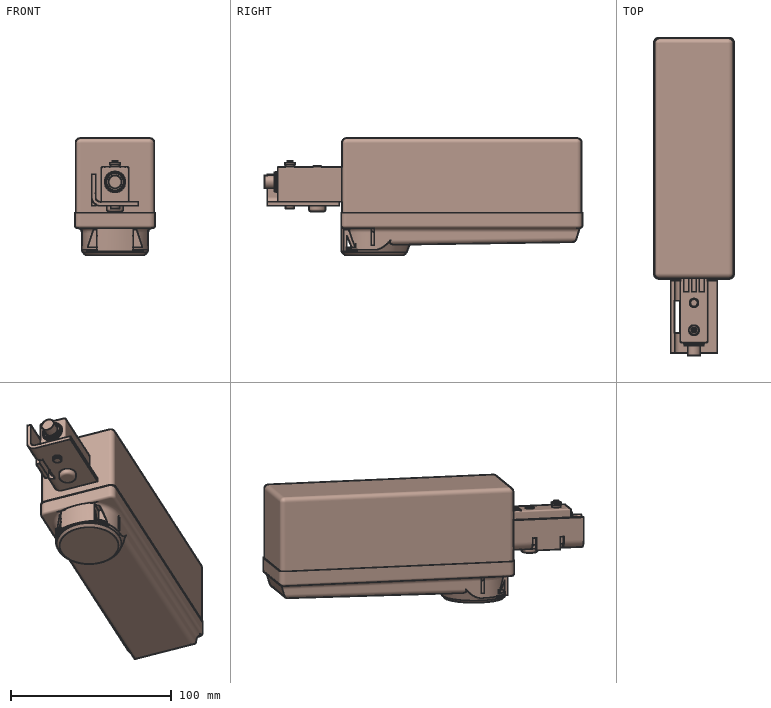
import cadquery as cq
import math


diagonal = math.sqrt(0.5)

base_width = 50.0
base_length = 150.0
base_corner_radius = 3.5
base_bottom_z = 16.9
base_bottom_fillet = 1.7
step_z = 26.5
step_inset = 0.5
cover_top_z = 72.9
cover_fillet = 3.0
base_front_y = -base_length / 2
base_back_y = base_length / 2
cover_front_y = base_front_y + step_inset

strip_half_width = 20.7
strip_flare_radius = 2.6
strip_front_bottom_z = 6.3
strip_back_bottom_z = 8.1
strip_back_taper = 2.7
strip_bottom_fillet = 3.0

bowl_y = base_front_y + strip_half_width
bowl_bottom_radius = 18.3
bowl_edge_radius = 20.1
bowl_edge_z = 1.8
bowl_slope = math.radians(21.0)
rib_groove_width = 1.9
rib_groove_depth = 0.3

panel_bow = 1.7
front_wall_back_y = base_front_y + 3.6
opening_floor_z = 2.5
shelf_bottom_z = 3.6
shelf_top_z = 5.0
opening_top_z = 12.0
lower_opening_back_y = base_front_y + 10.0
upper_opening_back_y = base_front_y + 6.5
window_inner_x = 11.2
window_bottom_outer_x = 17.0
window_top_outer_x = 13.5
window_depth = 9.0
window_top_z = 15.8

bracket_width = 29.0
bracket_length = 45.0
bracket_thickness = 2.5
bracket_bottom_z = 30.7
bracket_top_z = 50.4
bracket_gap = 1.0
bend_radius = 3.0
tab_length = 15.0
relief_width = 2.5
relief_top_z = 38.7
bracket_back_y = base_front_y - bracket_gap
bracket_mid_y = bracket_back_y - bracket_length / 2
bracket_left_x = -bracket_width / 2
floor_top_z = bracket_bottom_z + bracket_thickness
bend_outer_radius = bend_radius + bracket_thickness

block_width = 17.0
block_length = 40.0
block_top_z = 55.0
block_fillet = 1.0
block_front_y = cover_front_y - block_length
slot_width = 3.0
slot_pitch = 4.75
slot_depth = 4.0
slot_front_y = base_front_y - 8.0

button_z = 45.6
button_diameter = 8.0
button_tip_y = base_front_y - 47.6
collar_length = 1.9
collar_base_diameter = 13.0
collar_front_diameter = 11.9
collar_teeth = 24
collar_root_diameter = 10.5
tooth_gap_width = 0.8

rivet_y = bracket_back_y - 13.8
rivet_base_diameter = 5.5
rivet_top_diameter = 4.5
rivet_height = 0.6
screw_head_diameter = 10.5
screw_head_flat_diameter = 7.0
screw_head_height = 3.6
screw_head_rim_height = 2.0

terminal_y = bracket_back_y - 30.8
terminal_diameter = 5.6
terminal_flange_diameter = 6.4
terminal_flange_bottom = 1.4
terminal_height = 2.6
terminal_stem_diameter = 1.3
terminal_cap_diameter = 3.24
terminal_cap_bottom = 3.4
terminal_cap_top = 3.8
terminal_foot_height = 1.9
terminal_foot_chamfer = 0.5


def box(x_min, x_max, y_min, y_max, z_min, z_max):
    """Axis-aligned box between the given limits."""
    return (
        cq.Workplane("XY")
        .box(x_max - x_min, y_max - y_min, z_max - z_min, centered=False)
        .translate((x_min, y_min, z_min))
    )


def disc(diameter, y, z_min, z_max):
    """Upright cylinder on the centre line."""
    return cq.Workplane("XY", origin=(0, y, z_min)).circle(diameter / 2).extrude(z_max - z_min)


def make_shell():
    """Rectangular cover standing on the slightly wider base."""
    base = (
        cq.Workplane("XY", origin=(0, 0, base_bottom_z))
        .rect(base_width, base_length)
        .extrude(step_z - base_bottom_z)
        .edges("|Z")
        .fillet(base_corner_radius)
        .faces("<Z")
        .edges()
        .fillet(base_bottom_fillet)
    )
    cover = (
        cq.Workplane("XY", origin=(0, 0, step_z))
        .rect(base_width - 2 * step_inset, base_length - 2 * step_inset)
        .extrude(cover_top_z - step_z)
        .edges("|Z or >Z")
        .fillet(cover_fillet)
    )
    return base.union(cover)


def make_strip():
    """Long strip with flared sides, a sloping bottom and a tapered back end."""
    flare_half_width = strip_half_width + strip_flare_radius
    flare_bottom_z = base_bottom_z - strip_flare_radius
    arc_reach = strip_flare_radius * (1 - diagonal)
    strip_back_y = base_back_y - base_bottom_fillet
    section = (
        cq.Workplane("XZ", origin=(0, strip_back_y, 0))
        .moveTo(-strip_half_width, 0)
        .lineTo(strip_half_width, 0)
        .lineTo(strip_half_width, flare_bottom_z)
        .threePointArc(
            (strip_half_width + arc_reach, base_bottom_z - arc_reach), (flare_half_width, base_bottom_z)
        )
        .lineTo(-flare_half_width, base_bottom_z)
        .threePointArc(
            (-strip_half_width - arc_reach, base_bottom_z - arc_reach), (-strip_half_width, flare_bottom_z)
        )
        .close()
        .extrude(strip_back_y - bowl_y)
    )
    side = (
        cq.Workplane("YZ")
        .polyline(
            [
                (bowl_y, base_bottom_z),
                (bowl_y, strip_front_bottom_z),
                (strip_back_y - strip_back_taper, strip_back_bottom_z),
                (strip_back_y, base_bottom_z),
            ]
        )
        .close()
        .extrude(base_width / 2, both=True)
    )
    footprint = (
        cq.Workplane("XY")
        .rect(base_width - 2 * base_bottom_fillet, base_length - 2 * base_bottom_fillet)
        .extrude(base_bottom_z)
        .edges("|Z")
        .fillet(base_corner_radius - base_bottom_fillet)
    )
    strip = section.intersect(side)
    strip = strip.faces("<Z").edges("not <Y").fillet(strip_bottom_fillet)
    return strip.intersect(footprint)


def revolve_bowl(outer_points):
    """Solid of revolution about the bowl axis from the outer (radius, Z) points."""
    return (
        cq.Workplane("XZ")
        .polyline([(0, 0)] + outer_points + [(0, base_bottom_z)])
        .close()
        .revolve(360, (0, 0, 0), (0, 1, 0))
        .translate((0, bowl_y, 0))
    )


def make_flare():
    """Concave rim that carries the flare of the strip round the front of the bowl."""
    inner_radius = strip_half_width
    outer_radius = strip_half_width + strip_flare_radius
    arc_reach = strip_flare_radius * (1 - diagonal)
    rim = (
        cq.Workplane("XZ")
        .moveTo(0, base_bottom_z - strip_flare_radius)
        .lineTo(inner_radius, base_bottom_z - strip_flare_radius)
        .threePointArc(
            (inner_radius + arc_reach, base_bottom_z - arc_reach), (outer_radius, base_bottom_z)
        )
        .lineTo(0, base_bottom_z)
        .close()
        .revolve(360, (0, 0, 0), (0, 1, 0))
        .translate((0, bowl_y, 0))
    )
    rim_front_y = base_front_y + base_bottom_fillet
    return rim.intersect(box(-outer_radius, outer_radius, rim_front_y, bowl_y, 0, base_bottom_z))


def make_front_panel():
    """Front wall of the bowl, flatter than the bowl and slightly bowed outwards."""
    edge_y = base_front_y + panel_bow
    return (
        cq.Workplane("XY", origin=(0, 0, opening_floor_z))
        .moveTo(-window_inner_x, front_wall_back_y)
        .lineTo(-window_inner_x, edge_y)
        .threePointArc((0, base_front_y), (window_inner_x, edge_y))
        .lineTo(window_inner_x, front_wall_back_y)
        .close()
        .extrude(base_bottom_z - opening_floor_z)
    )


def make_bowl():
    """Bowl with an upright front half, a shallow front panel and a conical back half."""
    half = strip_half_width
    rim_z = bowl_edge_z + (half - bowl_edge_radius) / math.tan(bowl_slope)
    cone_top_radius = bowl_edge_radius + (base_bottom_z - bowl_edge_z) * math.tan(bowl_slope)
    foot = [(bowl_bottom_radius, 0), (bowl_edge_radius, bowl_edge_z)]
    upright = revolve_bowl(foot + [(half, rim_z), (half, base_bottom_z)])
    cone = revolve_bowl(foot + [(cone_top_radius, base_bottom_z)])
    back_half = box(-half, half, bowl_y, base_back_y, 0, base_bottom_z)
    bowl = upright.union(cone.intersect(back_half)).union(make_flare()).union(make_front_panel())

    lower_opening = box(
        -half, half,
        front_wall_back_y, lower_opening_back_y,
        opening_floor_z, shelf_bottom_z,
    )
    upper_opening = (
        cq.Workplane("YZ")
        .polyline(
            [
                (front_wall_back_y, shelf_top_z),
                (upper_opening_back_y, shelf_top_z),
                (front_wall_back_y, opening_top_z),
            ]
        )
        .close()
        .extrude(half, both=True)
    )
    bowl = bowl.cut(lower_opening).cut(upper_opening)

    for side in (-1, 1):
        window = (
            cq.Workplane("XZ", origin=(0, base_front_y + window_depth, 0))
            .polyline(
                [
                    (side * window_inner_x, shelf_top_z),
                    (side * window_bottom_outer_x, shelf_top_z),
                    (side * window_top_outer_x, window_top_z),
                    (side * window_inner_x, window_top_z),
                ]
            )
            .close()
            .extrude(window_depth)
        )
        bowl = bowl.cut(window)
        groove_limits = sorted((side * (half - rib_groove_depth), side * half))
        groove_front_y = bowl_y - rib_groove_width
        bowl = bowl.cut(box(*groove_limits, groove_front_y, bowl_y, strip_front_bottom_z, base_bottom_z))
    return bowl


def make_bracket():
    """Bent angle with a straight tab left between two reliefs in the bend."""
    bend_x = bracket_left_x + bend_outer_radius
    bend_z = bracket_bottom_z + bend_outer_radius
    bracket = (
        cq.Workplane("XZ", origin=(0, bracket_back_y, 0))
        .moveTo(bracket_left_x, bracket_top_z)
        .lineTo(bracket_left_x, bend_z)
        .threePointArc(
            (bend_x - bend_outer_radius * diagonal, bend_z - bend_outer_radius * diagonal),
            (bend_x, bracket_bottom_z),
        )
        .lineTo(-bracket_left_x, bracket_bottom_z)
        .lineTo(-bracket_left_x, floor_top_z)
        .lineTo(bend_x, floor_top_z)
        .threePointArc(
            (bend_x - bend_radius * diagonal, bend_z - bend_radius * diagonal),
            (bracket_left_x + bracket_thickness, bend_z),
        )
        .lineTo(bracket_left_x + bracket_thickness, bracket_top_z)
        .close()
        .extrude(bracket_length)
    )
    half_tab = tab_length / 2
    half_cut = half_tab + relief_width
    cutout = box(
        bracket_left_x, bend_x,
        bracket_mid_y - half_cut, bracket_mid_y + half_cut,
        bracket_bottom_z, relief_top_z,
    )
    tab = box(
        bracket_left_x, bracket_left_x + bracket_thickness,
        bracket_mid_y - half_tab, bracket_mid_y + half_tab,
        bracket_bottom_z, relief_top_z,
    )
    return bracket.cut(cutout).union(tab)


def make_block():
    """Switch block with rounded edges and three slots at its housing end."""
    block = (
        box(-block_width / 2, block_width / 2, block_front_y, cover_front_y, floor_top_z, block_top_z)
        .edges("(|Z and <Y) or >Z")
        .edges("not >Y")
        .fillet(block_fillet)
    )
    for index in (-1, 0, 1):
        slot_x = index * slot_pitch
        block = block.cut(
            box(
                slot_x - slot_width / 2, slot_x + slot_width / 2,
                slot_front_y, cover_front_y,
                block_top_z - slot_depth, block_top_z,
            )
        )
    return block


def make_button():
    """Push button in a toothed conical collar."""
    collar_face = cq.Workplane("XZ", origin=(0, block_front_y, button_z))
    collar = (
        collar_face.circle(collar_base_diameter / 2)
        .workplane(offset=collar_length)
        .circle(collar_front_diameter / 2)
        .loft()
    )
    tooth_gap_depth = collar_base_diameter - collar_root_diameter
    gaps = (
        collar_face.polarArray(collar_base_diameter / 2, 0, 360, collar_teeth)
        .rect(tooth_gap_depth, tooth_gap_width)
        .extrude(collar_length)
    )
    button = collar_face.circle(button_diameter / 2).extrude(block_front_y - button_tip_y)
    return collar.cut(gaps).union(button)


def make_rivet():
    """Low conical rivet on the block and the domed screw head below the bracket."""
    rivet = (
        cq.Workplane("XY", origin=(0, rivet_y, block_top_z))
        .circle(rivet_base_diameter / 2)
        .workplane(offset=rivet_height)
        .circle(rivet_top_diameter / 2)
        .loft()
    )
    head_radius = screw_head_diameter / 2
    flat_radius = screw_head_flat_diameter / 2
    dome_drop = screw_head_height - screw_head_rim_height
    dome_width = head_radius - flat_radius
    head = (
        cq.Workplane("XZ")
        .lineTo(head_radius, 0)
        .lineTo(head_radius, -screw_head_rim_height)
        .threePointArc(
            (
                flat_radius + dome_width * diagonal,
                -screw_head_rim_height - dome_drop * diagonal,
            ),
            (flat_radius, -screw_head_height),
        )
        .lineTo(0, -screw_head_height)
        .close()
        .revolve(360, (0, 0, 0), (0, 1, 0))
        .translate((0, rivet_y, bracket_bottom_z))
    )
    return rivet.union(head)


def make_terminal():
    """Flanged terminal with a capped pin above the block and a foot below the bracket."""
    neck = disc(terminal_diameter, terminal_y, block_top_z, block_top_z + terminal_height)
    flange = disc(
        terminal_flange_diameter, terminal_y,
        block_top_z + terminal_flange_bottom, block_top_z + terminal_height,
    )
    stem = disc(terminal_stem_diameter, terminal_y, block_top_z, block_top_z + terminal_cap_top)
    cap = disc(
        terminal_cap_diameter, terminal_y,
        block_top_z + terminal_cap_bottom, block_top_z + terminal_cap_top,
    )
    foot = disc(terminal_diameter, terminal_y, bracket_bottom_z - terminal_foot_height, bracket_bottom_z)
    foot = foot.faces("<Z").chamfer(terminal_foot_chamfer)
    return neck.union(flange).union(stem).union(cap).union(foot)


def make_housing():
    """Cover, base, strip and lens bowl as one solid."""
    return make_shell().union(make_strip()).union(make_bowl())


def make_switch():
    """Bracket with the switch block and its button and fasteners as one solid."""
    switch = make_bracket().union(make_block())
    switch = switch.union(make_button())
    return switch.union(make_rivet()).union(make_terminal())


housing = make_housing()
switch = make_switch()
result = cq.Compound.makeCompound([housing.solids().val(), switch.solids().val()])